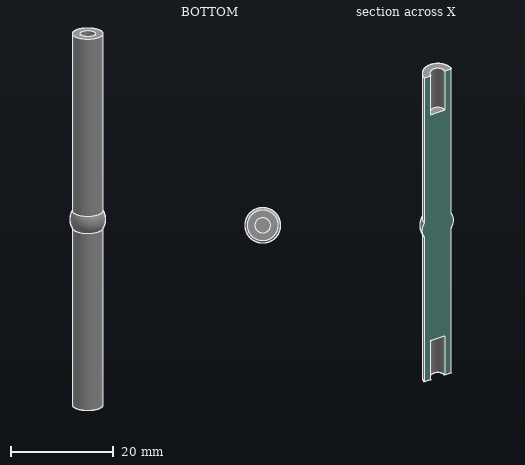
import cadquery as cq

length = 78.0
rod_diameter = 6.0
ball_diameter = 7.0
bore_diameter = 3.0
bore_depth = 10.0

half_length = length / 2


def make_body():
    """Round rod along Z, centred on the origin, with a ball bulging out at mid-length."""
    rod = cq.Workplane("XY").circle(rod_diameter / 2).extrude(half_length, both=True)
    ball = cq.Workplane("XY").sphere(ball_diameter / 2)
    return rod.union(ball)


def bore_end(body, end_face):
    """Sink a blind, flat-bottomed bore into the centre of one end face."""
    return body.faces(end_face).workplane(centerOption="CenterOfMass").hole(bore_diameter, bore_depth)


result = make_body()
for end in (">Z", "<Z"):
    result = bore_end(result, end)